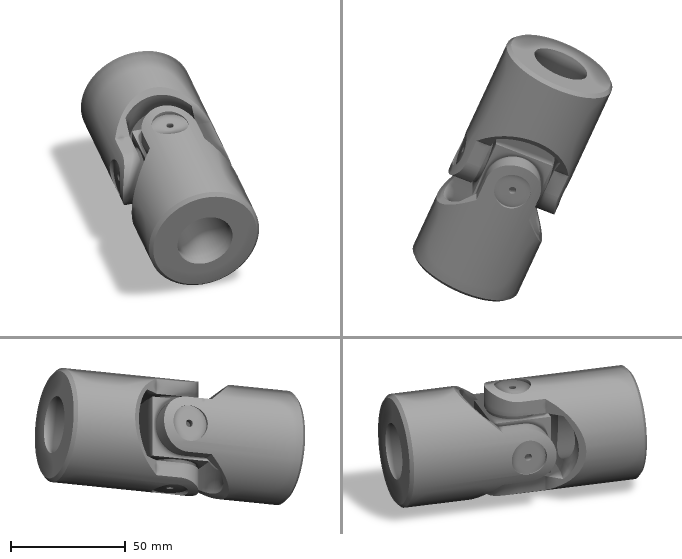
import cadquery as cq

LENGTH = 108.0
BODY_DIAMETER = 50.0
BORE_DIAMETER = 25.0
END_CHAMFER = 1.5

EAR_RADIUS = 12.4
EAR_STRAIGHT_END = 11.1
FLARE_END = 25.9
FORK_GAP = 30.0
CAVITY_AXIS_OFFSET = 3.2
CAVITY_MID_RADIUS = 22.0
CAVITY_RIM_RADIUS = 19.5

BLOCK_SIZE = 26.7
BOSS_DIAMETER = 23.0
PIN_DIAMETER = 16.0
PIN_SPAN = 46.7
CENTRE_HOLE_DIAMETER = 3.2
CENTRE_HOLE_DEPTH = 3.2

HALF_LENGTH = LENGTH / 2
BODY_RADIUS = BODY_DIAMETER / 2

def rod_along_x(diameter, start, end):
    return cq.Workplane("YZ", origin=(start, 0, 0)).circle(diameter / 2).extrude(end - start)

def fork_outline():
    """Side limits of a yoke: round ear tips, parallel flanks, then a flare to the body."""
    outline = (
        cq.Workplane("XY")
        .moveTo(0, EAR_RADIUS)
        .threePointArc((-EAR_RADIUS, 0), (0, -EAR_RADIUS))
        .lineTo(EAR_STRAIGHT_END, -EAR_RADIUS)
        .lineTo(FLARE_END, -BODY_RADIUS)
        .lineTo(HALF_LENGTH, -BODY_RADIUS)
        .lineTo(HALF_LENGTH, BODY_RADIUS)
        .lineTo(FLARE_END, BODY_RADIUS)
        .lineTo(EAR_STRAIGHT_END, EAR_RADIUS)
        .close()
    )
    return outline.extrude(BODY_RADIUS, both=True)

def fork_cavity():
    """Space between the ears: a barrel lying across the yoke, cut off flat at the ear faces."""
    barrel = (
        cq.Workplane("XY", origin=(CAVITY_AXIS_OFFSET, 0, 0))
        .moveTo(0, -BODY_RADIUS)
        .lineTo(CAVITY_RIM_RADIUS, -BODY_RADIUS)
        .threePointArc((CAVITY_MID_RADIUS, 0), (CAVITY_RIM_RADIUS, BODY_RADIUS))
        .lineTo(0, BODY_RADIUS)
        .close()
        .revolve(360, (0, 0, 0), (0, 1, 0))
    )
    ear_gap = cq.Workplane("XY").box(2 * EAR_RADIUS, BODY_DIAMETER, FORK_GAP)
    flat_limit = cq.Workplane("XY").box(LENGTH, BODY_DIAMETER, FORK_GAP)
    return barrel.union(ear_gap).intersect(flat_limit)

def make_yoke():
    """Yoke with its shaft end toward +X and its ears at +Z and -Z."""
    body = rod_along_x(BODY_DIAMETER, -EAR_RADIUS, HALF_LENGTH).faces(">X").chamfer(END_CHAMFER)
    pin_hole = cq.Workplane("XY").circle(PIN_DIAMETER / 2).extrude(BODY_RADIUS, both=True)
    bore = rod_along_x(BORE_DIAMETER, 0, HALF_LENGTH)
    return body.intersect(fork_outline()).cut(fork_cavity()).cut(bore).cut(pin_hole)

def make_cross():
    """Cube with a shoulder boss, a pin and a centre hole on each of its four arms."""
    arm_planes = ("XY", "XZ")
    cross = cq.Workplane("XY").box(BLOCK_SIZE, BLOCK_SIZE, BLOCK_SIZE)
    for plane in arm_planes:
        bosses = cq.Workplane(plane).circle(BOSS_DIAMETER / 2).extrude(FORK_GAP / 2, both=True)
        pins = cq.Workplane(plane).circle(PIN_DIAMETER / 2).extrude(PIN_SPAN / 2, both=True)
        cross = cross.union(bosses).union(pins)
    for plane in arm_planes:
        for side in (1, -1):
            hole = (
                cq.Workplane(plane)
                .workplane(offset=side * PIN_SPAN / 2)
                .circle(CENTRE_HOLE_DIAMETER / 2)
                .extrude(-side * CENTRE_HOLE_DEPTH)
            )
            cross = cross.cut(hole)
    return cross

yokes = []
for facing_angle, ear_angle in ((0, 0), (180, 90)):
    yoke = make_yoke().rotate((0, 0, 0), (0, 0, 1), facing_angle)
    yokes.append(yoke.rotate((0, 0, 0), (1, 0, 0), ear_angle))

cross = make_cross()

result = cq.Compound.makeCompound([*[yoke.val() for yoke in yokes], cross.val()])